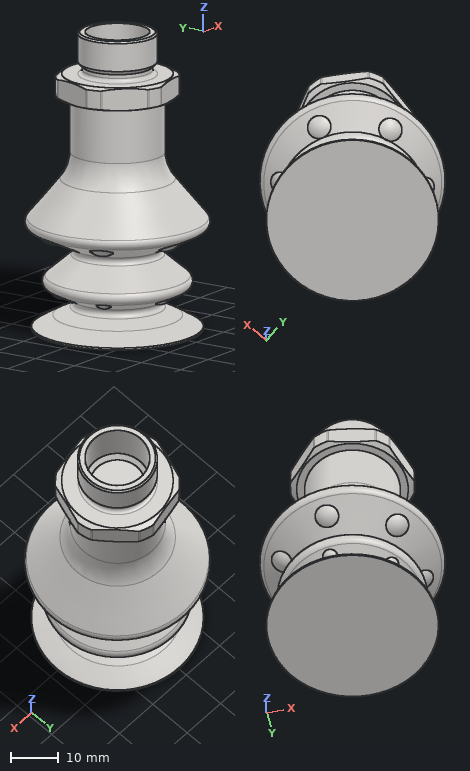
import cadquery as cq
import math

total_height = 64.0
hex_top = 55.0
hex_bottom = 50.0

thread_radius = 16.65 / 2
thread_bottom = 57.6
thread_chamfer = 0.4
neck_radius = 14.8 / 2
neck_fillet = thread_radius - neck_radius
across_flats = 24.0
hex_corner_radius = 13.0
hex_corner_blend = 0.8
hex_face_radius = 11.65
hex_rotation = -18.0
hex_chamfer_angle = 20.0
bore_radius = 13.5 / 2
bore_floor_radius = 11.5 / 2
bore_depth = 10.25

collar_radius = 20.0 / 2
shoulder_height = 34.95
shoulder_round = 9.0
upper_fold_radius = 20.2
upper_fold_height = 22.6
upper_fold_round = 1.4
upper_groove_radius = 8.5
upper_groove_height = 17.15
lower_fold_radius = 17.0
lower_fold_height = 9.9
lower_fold_round = 1.55
lower_groove_radius = 7.9
lower_groove_height = 5.6
groove_round = 1.1
lip_start_radius = 13.6
lip_start_height = 2.95
lip_radius = 18.0
lip_thickness = 0.45

bump_count = 6
bump_start_angle = 22.0
bump_root = 0.65
upper_bump_radius = 2.4
upper_bump_rise = 0.7
upper_bump_position = 14.9
lower_bump_radius = 1.55
lower_bump_rise = 0.5
lower_bump_position = 12.9


def unit_vector(start, end):
    length = math.dist(start, end)
    return ((end[0] - start[0]) / length, (end[1] - start[1]) / length)


def rounded_corner(before, corner, after, radius):
    """Start, middle and end of the arc that rounds a corner of an outline."""
    back = unit_vector(corner, before)
    ahead = unit_vector(corner, after)
    half_angle = math.acos(back[0] * ahead[0] + back[1] * ahead[1]) / 2
    setback = radius / math.tan(half_angle)
    middle_distance = radius / math.sin(half_angle) - radius
    inward = unit_vector((0, 0), (back[0] + ahead[0], back[1] + ahead[1]))
    start = (corner[0] + setback * back[0], corner[1] + setback * back[1])
    middle = (corner[0] + middle_distance * inward[0], corner[1] + middle_distance * inward[1])
    end = (corner[0] + setback * ahead[0], corner[1] + setback * ahead[1])
    return start, middle, end


def make_spigot():
    """Thread, relief neck and the fillet down to the hexagon, turned as one."""
    relief_height = thread_radius - neck_radius
    fillet_offset = neck_fillet * (1 - math.sqrt(0.5))
    outline = (
        cq.Workplane("XZ")
        .moveTo(0, hex_top)
        .lineTo(neck_radius + neck_fillet, hex_top)
        .threePointArc(
            (neck_radius + fillet_offset, hex_top + fillet_offset),
            (neck_radius, hex_top + neck_fillet),
        )
        .lineTo(neck_radius, thread_bottom - relief_height)
        .lineTo(thread_radius, thread_bottom)
        .lineTo(thread_radius, total_height - thread_chamfer)
        .lineTo(thread_radius - thread_chamfer, total_height)
        .lineTo(0, total_height)
        .close()
    )
    return outline.revolve(360, (0, 0, 0), (0, 1, 0))


def make_hexagon():
    """Hexagon with turned corners and conical chamfers on both faces."""
    height = hex_top - hex_bottom
    chamfer_height = (hex_corner_radius - hex_face_radius) * math.tan(math.radians(hex_chamfer_angle))
    prism = (
        cq.Workplane("XY")
        .workplane(offset=hex_bottom)
        .polygon(6, across_flats, circumscribed=True)
        .extrude(height)
        .rotate((0, 0, 0), (0, 0, 1), hex_rotation)
    )
    corner_limit = cq.Workplane("XY").workplane(offset=hex_bottom).circle(hex_corner_radius).extrude(height)
    rounded_prism = prism.intersect(corner_limit).edges("|Z").fillet(hex_corner_blend)
    chamfer_limit = (
        cq.Workplane("XZ")
        .moveTo(0, hex_bottom)
        .lineTo(hex_face_radius, hex_bottom)
        .lineTo(hex_corner_radius, hex_bottom + chamfer_height)
        .lineTo(hex_corner_radius, hex_top - chamfer_height)
        .lineTo(hex_face_radius, hex_top)
        .lineTo(0, hex_top)
        .close()
        .revolve(360, (0, 0, 0), (0, 1, 0))
    )
    return rounded_prism.intersect(chamfer_limit)


def make_bore():
    """Blind bore that tapers at 45 degrees to a smaller flat floor."""
    floor_height = total_height - bore_depth
    taper_height = bore_radius - bore_floor_radius
    return (
        cq.Workplane("XZ")
        .moveTo(0, floor_height)
        .lineTo(bore_floor_radius, floor_height)
        .lineTo(bore_radius, floor_height + taper_height)
        .lineTo(bore_radius, total_height)
        .lineTo(0, total_height)
        .close()
        .revolve(360, (0, 0, 0), (0, 1, 0))
    )


def make_fitting():
    return make_hexagon().union(make_spigot()).cut(make_bore())


def make_bellows_core():
    """Turned bellows: collar, two rounded folds, two grooves and a flared lip."""
    corners = [
        (collar_radius, hex_bottom),
        (collar_radius, shoulder_height),
        (upper_fold_radius, upper_fold_height),
        (upper_groove_radius, upper_groove_height),
        (lower_fold_radius, lower_fold_height),
        (lower_groove_radius, lower_groove_height),
        (lip_start_radius, lip_start_height),
    ]
    rounds = [shoulder_round, upper_fold_round, groove_round, lower_fold_round, groove_round]

    outline = cq.Workplane("XZ").moveTo(0, hex_bottom).lineTo(*corners[0])
    for before, corner, after, radius in zip(corners, corners[1:], corners[2:], rounds):
        start, middle, end = rounded_corner(before, corner, after, radius)
        outline = outline.lineTo(*start).threePointArc(middle, end)
    outline = (
        outline.lineTo(lip_start_radius, lip_start_height)
        .tangentArcPoint((lip_radius, lip_thickness), relative=False)
        .lineTo(lip_radius, 0)
        .lineTo(0, 0)
        .close()
    )
    return outline.revolve(360, (0, 0, 0), (0, 1, 0))


def make_bump_ring(fold, groove, position, base_radius, rise):
    """Dome-shaped bumps, evenly spaced on the cone between a fold and its groove."""
    slope = unit_vector(groove, fold)
    height = groove[1] + (position - groove[0]) * slope[1] / slope[0]
    ball_radius = (base_radius**2 + rise**2) / (2 * rise)
    bumps = []
    for index in range(bump_count):
        angle = math.radians(bump_start_angle + index * 360 / bump_count)
        cosine = math.cos(angle)
        sine = math.sin(angle)
        cone_surface = cq.Plane(
            origin=(position * cosine, position * sine, height),
            xDir=(-sine, cosine, 0),
            normal=(slope[1] * cosine, slope[1] * sine, -slope[0]),
        )
        ball = cq.Workplane(cone_surface).workplane(offset=rise - ball_radius).sphere(ball_radius)
        cap_limit = cq.Workplane(cone_surface).workplane(offset=-bump_root).circle(ball_radius)
        bumps.append(ball.intersect(cap_limit.extrude(bump_root + rise)))
    return bumps


def make_bellows():
    upper_bumps = make_bump_ring(
        (upper_fold_radius, upper_fold_height),
        (upper_groove_radius, upper_groove_height),
        upper_bump_position,
        upper_bump_radius,
        upper_bump_rise,
    )
    lower_bumps = make_bump_ring(
        (lower_fold_radius, lower_fold_height),
        (lower_groove_radius, lower_groove_height),
        lower_bump_position,
        lower_bump_radius,
        lower_bump_rise,
    )
    bellows = make_bellows_core()
    for bump in upper_bumps + lower_bumps:
        bellows = bellows.union(bump)
    return bellows


fitting = make_fitting()
bellows = make_bellows()

result = cq.Compound.makeCompound([fitting.val(), bellows.val()])